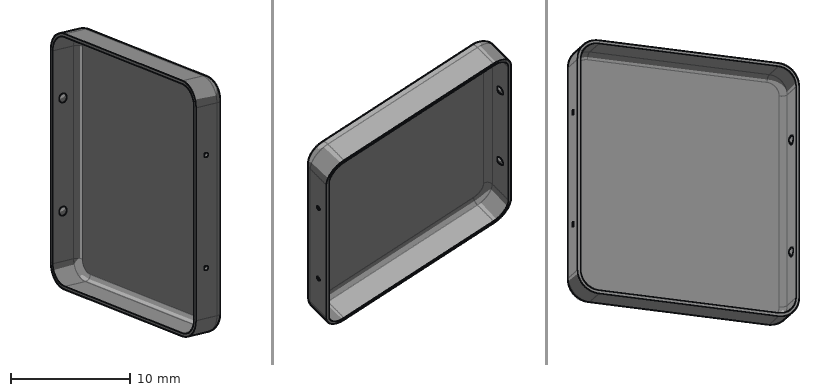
import cadquery as cq

width = 19.9
depth = 3.0
height = 22.6
wall = 0.3
corner_radius = 1.9
floor_edge_radius = 0.81

dimple_radius = 0.2
dome_radius = dimple_radius + wall
dimple_spacing = 10.0
dimple_from_rim = 1.08


def rounded_block(inset):
    """Tray envelope, shrunk by inset on the sides and the floor."""
    block = cq.Workplane("XY").box(
        width - 2 * inset, depth - inset, height - 2 * inset, centered=(True, False, True)
    )
    block = block.edges("|Y").fillet(corner_radius - inset)
    return block.faces(">Y").edges().fillet(floor_edge_radius - inset)


def ball(radius, side, level):
    """Sphere centred on a side wall's outer face, with its poles along X."""
    sphere = cq.Workplane("XY").sphere(radius).rotate((0, 0, 0), (0, 1, 0), 90)
    return sphere.translate((side * width / 2, dimple_from_rim, level * dimple_spacing / 2))


envelope = rounded_block(0)
result = envelope.cut(rounded_block(wall))

for side in (-1, 1):
    for level in (-1, 1):
        dome = ball(dome_radius, side, level).intersect(envelope)
        result = result.union(dome).cut(ball(dimple_radius, side, level))